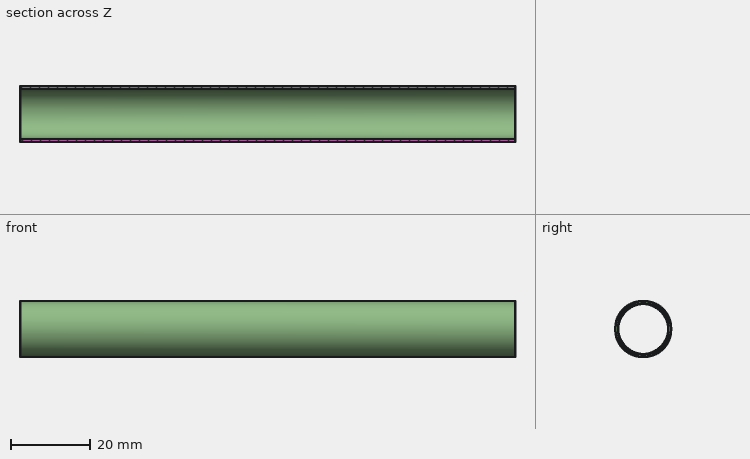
import cadquery as cq

length = 125.0
wall_thickness = 0.8
edge_chamfer = 0.1
end_face_diameter = 14.0

outer_diameter = end_face_diameter + 2 * edge_chamfer
bore_diameter = outer_diameter - 2 * wall_thickness

tube = (
    cq.Workplane("YZ", origin=(-length / 2, 0, 0))
    .circle(outer_diameter / 2)
    .circle(bore_diameter / 2)
    .extrude(length)
)

result = tube.faces("|X").edges().chamfer(edge_chamfer)